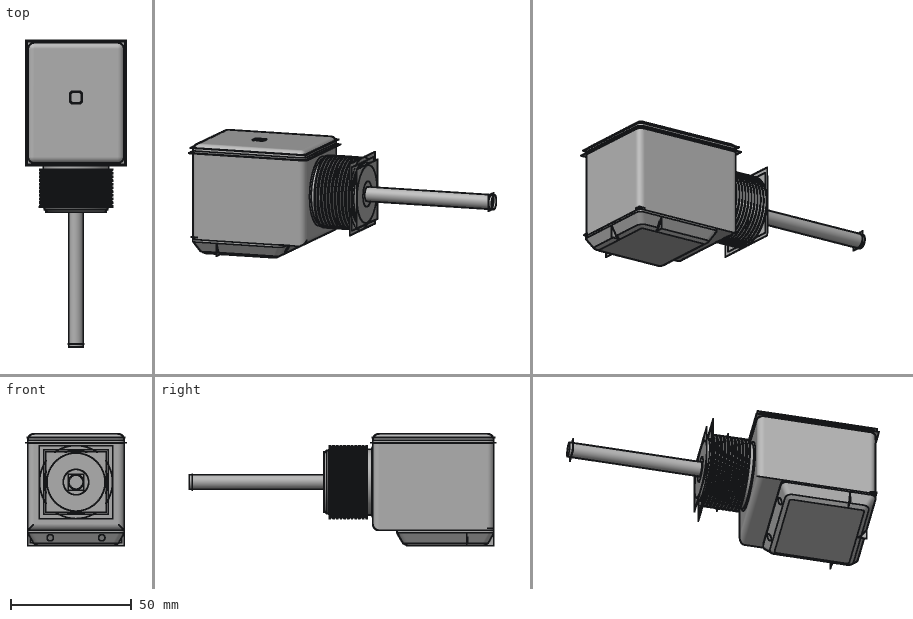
import cadquery as cq
import math


side = 40.0
half = side / 2
length = 50.1
edge_radius = 2.7
total_length = 126.9
total_height = 46.3
sheet = 0.1

lid_height = 2.8
lid_plate_depth = 1.6
lid_plate_overhang = 0.3
gasket_height = 1.1
flange_overhang = 0.82
flange_depth = 3.8
gasket_top = half - lid_height
gasket_bottom = gasket_top - gasket_height

light_y = 27.3
light_side = 4.3
light_corner = 0.8
light_recess = 1.6
light_chamfer = 0.4

cover_front_y = 10.0
cover_height = total_height - side
cover_bottom = -half - cover_height
cover_band_height = 1.0
cover_slope_height = 3.2
cover_slope_inset = 1.8
cover_chamfer = 1.3
cover_middle_y = (cover_front_y + length) / 2
cover_length = length - cover_front_y

cross_plate_y = 38.8
inner_plate_width = 37.8
inner_plate_drop = 5.2
inner_plate_offset = 0.4
corner_plate_z = -19.2
corner_plate_front_y = 38.1

pin_diameter = 2.7
pin_x = 10.7
pin_drop = 3.0
pin_rear_y = 16.5

base_diameter = 28.9
base_length = 0.5
neck_diameter = 27.3
thread_start = 2.3
thread_end = 18.0
thread_diameter = 30.2
thread_pitch = 1.5
thread_depth = 0.9
thread_land = 0.4
collar_end = 19.0
collar_diameter = 26.1
gland_end = 20.2
gland_end_diameter = 23.7
middle_plate_depth = 10.9
collar_plate_depth = 18.3
thread_plate = 30.2
collar_plate = 26.6
end_plate = 25.0
middle_plate = 22.8

seal_diameter = 10.5
seal_length = 5.1
seal_rear_y = seal_length - gland_end
cable_diameter = 6.1
cable_wall = 0.1
cable_recess = 1.3
cable_plate = 6.6
cable_tip_y = length + flange_overhang - total_length


def block(x_size, y_min, y_max, z_min, z_max):
    """Box centred on X, between the given Y and Z limits."""
    box = cq.Workplane("XY").box(x_size, y_max - y_min, z_max - z_min)
    return box.translate((0, (y_min + y_max) / 2, (z_min + z_max) / 2))


def rounded_block(z_min, z_max):
    """Slice of the housing envelope with rounded vertical edges."""
    return block(side, 0, length, z_min, z_max).edges("|Z").fillet(edge_radius)


def cylinder(diameter, y_min, y_max):
    """Cylinder on the cable axis between two Y positions."""
    disc = cq.Workplane("XZ", origin=(0, y_max, 0)).circle(diameter / 2)
    return disc.extrude(y_max - y_min)


def square_plate(size, y):
    """Thin square plate across the cable axis, with its front face at y."""
    return block(size, y, y + sheet, -size / 2, size / 2)


def make_housing():
    """Box with rounded vertical edges, a rounded front bottom edge and thin rear corner plates."""
    box = block(side, 0, length, -half, gasket_bottom)
    box = box.edges("|Z or (<Y and <Z)").fillet(edge_radius)
    plate_top = corner_plate_z + sheet
    corner_plate = block(side, corner_plate_front_y, length, corner_plate_z, plate_top)
    return box.union(corner_plate)


def make_gasket():
    """Gasket between housing and lid, with a thin square-cornered flange around it."""
    flange_z = half - flange_depth
    flange = block(side + 2 * flange_overhang, -flange_overhang, length + flange_overhang,
                   flange_z, flange_z + sheet)
    return rounded_block(gasket_bottom, gasket_top).union(flange)


def light_prism(z_min, z_max):
    """Square prism with rounded corners at the place of the indicator light."""
    light = block(light_side, -light_side / 2, light_side / 2, z_min, z_max)
    return light.edges("|Z").fillet(light_corner).translate((0, light_y, 0))


def make_lid():
    """Rounded lid with a thin rim plate and a chamfered opening for the light."""
    lid = rounded_block(gasket_top, half).faces(">Z").edges().fillet(edge_radius)
    plate_z = half - lid_plate_depth
    plate = block(side + 2 * lid_plate_overhang, -lid_plate_overhang, length + lid_plate_overhang,
                  plate_z, plate_z + sheet)
    mouth_side = light_side + 2 * light_chamfer
    mouth = (
        cq.Workplane("XY", origin=(0, light_y, half))
        .sketch()
        .rect(mouth_side, mouth_side)
        .vertices()
        .fillet(light_corner + light_chamfer)
        .finalize()
        .extrude(-light_chamfer, taper=45)
    )
    return lid.union(plate).cut(light_prism(gasket_top, half)).cut(mouth)


def make_cover_blank():
    """Lens cover: a straight band above sloped sides with a chamfered bottom edge."""
    taper = math.degrees(math.atan2(cover_slope_inset, cover_slope_height))
    slope_top = -half - cover_band_height
    slope = (
        cq.Workplane("XY", origin=(0, cover_middle_y, slope_top))
        .rect(side, cover_length)
        .extrude(cover_bottom - slope_top, taper=taper)
        .edges("not(#Z)")
        .fillet(edge_radius)
    )
    slope = slope.faces("<Z").edges().chamfer(cover_chamfer)
    band = slope.faces(">Z").wires().toPending().extrude(cover_band_height, combine=False)
    return band.union(slope)


def add_cover_plates(cover):
    """Two thin cross plates and a thin fin at the rear of the cover."""
    inner_y = cross_plate_y + inner_plate_offset
    cross = block(side, cross_plate_y, cross_plate_y + sheet, cover_bottom, -half)
    inner = block(inner_plate_width, inner_y, inner_y + sheet, -half - inner_plate_drop, -half)
    fin = block(sheet, cross_plate_y, length, cover_bottom, -half)
    return cover.union(cross).union(inner).union(fin)


def make_pin(x, cover):
    """Round pin along Y, flush with the sloped front of the cover."""
    pin = cylinder(pin_diameter, 0, pin_rear_y).translate((x, 0, -half - pin_drop))
    return pin.intersect(cover)


def make_gland():
    """Turned gland with thread grooves, a bevelled collar, thin square plates and a seal bore."""
    crest = thread_diameter / 2
    groove_count = math.floor((thread_end - thread_start) / thread_pitch)
    groove_flank = (thread_pitch - thread_land) / 2
    profile = [
        (0, 0),
        (base_diameter / 2, 0),
        (neck_diameter / 2, -base_length),
        (neck_diameter / 2, -thread_start),
        (crest, -thread_start),
    ]
    for groove in range(groove_count):
        groove_y = -thread_start - thread_land - groove * thread_pitch
        profile += [
            (crest, groove_y),
            (crest - thread_depth, groove_y - groove_flank),
            (crest, groove_y - 2 * groove_flank),
        ]
    profile += [
        (crest, -thread_end),
        (collar_diameter / 2, -thread_end),
        (collar_diameter / 2, -collar_end),
        (gland_end_diameter / 2, -gland_end),
        (0, -gland_end),
    ]
    gland = cq.Workplane("XY").polyline(profile).close().revolve(360, (0, 0, 0), (0, 1, 0))
    plates = [
        (middle_plate, -middle_plate_depth),
        (thread_plate, -thread_end),
        (collar_plate, -collar_plate_depth),
        (end_plate, -gland_end),
    ]
    for size, y in plates:
        gland = gland.union(square_plate(size, y))
    return gland.cut(cylinder(seal_diameter, -gland_end, seal_rear_y))


def make_seal():
    """Ring between gland and cable, flush with the gland end."""
    ring = cylinder(seal_diameter, -gland_end, seal_rear_y)
    return ring.cut(cylinder(cable_diameter, -gland_end, seal_rear_y))


def make_cable():
    """Round cable with a shallow recess and a thin square plate at its free end."""
    recess_floor_y = cable_tip_y + cable_recess
    cable = cylinder(cable_diameter, cable_tip_y, seal_rear_y)
    recess = cylinder(cable_diameter - 2 * cable_wall, cable_tip_y, recess_floor_y)
    return cable.cut(recess).union(square_plate(cable_plate, recess_floor_y))


housing = make_housing()
gasket = make_gasket()
lid = make_lid()
light = light_prism(gasket_top, half - light_recess)
cover_blank = make_cover_blank()
pins = [make_pin(x, cover_blank) for x in (-pin_x, pin_x)]
cover = add_cover_plates(cover_blank)
for pin in pins:
    cover = cover.cut(pin)
gland = make_gland()
seal = make_seal()
cable = make_cable()

result = cq.Compound.makeCompound([
    housing.val(),
    gasket.val(),
    lid.val(),
    light.val(),
    cover.val(),
    *[pin.val() for pin in pins],
    gland.val(),
    seal.val(),
    cable.val(),
])